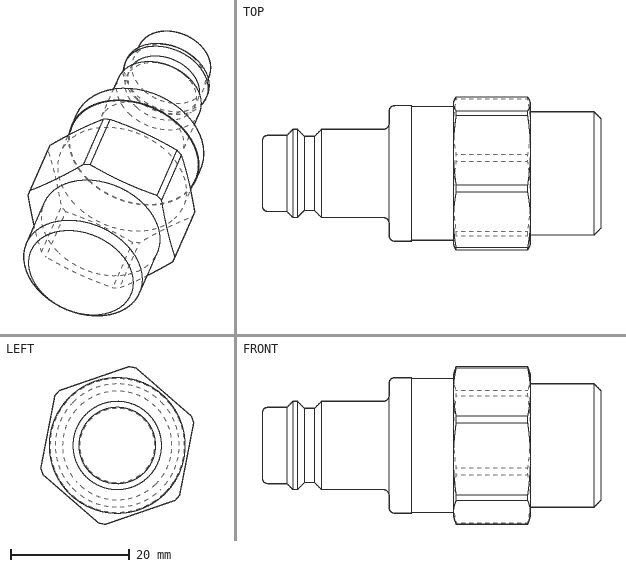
import cadquery as cq
import math


tip_diameter = 13.0
groove_diameter = 12.6
neck_diameter = 15.0
collar_diameter = 23.0
barrel_diameter = 22.75
rear_diameter = 20.95
rear_face_diameter = 18.5

ridge_start = 4.2
ridge_crest_width = 0.75
neck_start = 10.05
collar_start = 21.45
collar_end = 25.25
hex_start = 32.4
hex_end = 45.4
total_length = 57.4

edge_radius = 1.0
hex_across_flats = 24.0
hex_corner_diameter = 27.05
hex_tilt = 11.0
hex_chamfer_length = 0.45

tip_radius = tip_diameter / 2
groove_radius = groove_diameter / 2
neck_radius = neck_diameter / 2
collar_radius = collar_diameter / 2
barrel_radius = barrel_diameter / 2
rear_radius = rear_diameter / 2
rear_face_radius = rear_face_diameter / 2

ridge_crest_start = ridge_start + neck_radius - tip_radius
ridge_crest_end = ridge_crest_start + ridge_crest_width
groove_depth = neck_radius - groove_radius
groove_start = ridge_crest_end + groove_depth
groove_end = neck_start - groove_depth
rear_chamfer = rear_radius - rear_face_radius


def turned_body():
    """Revolve the half profile; X runs along the axis and Y is the radius."""
    profile = (
        cq.Workplane("XY")
        .moveTo(0, 0)
        .lineTo(0, tip_radius - edge_radius)
        .radiusArc((edge_radius, tip_radius), edge_radius)
        .lineTo(ridge_start, tip_radius)
        .lineTo(ridge_crest_start, neck_radius)
        .lineTo(ridge_crest_end, neck_radius)
        .lineTo(groove_start, groove_radius)
        .lineTo(groove_end, groove_radius)
        .lineTo(neck_start, neck_radius)
        .lineTo(collar_start - edge_radius, neck_radius)
        .radiusArc((collar_start, neck_radius + edge_radius), -edge_radius)
        .lineTo(collar_start, collar_radius - edge_radius)
        .radiusArc((collar_start + edge_radius, collar_radius), edge_radius)
        .lineTo(collar_end, collar_radius)
        .lineTo(collar_end, barrel_radius)
        .lineTo(hex_end, barrel_radius)
        .lineTo(hex_end, rear_radius)
        .lineTo(total_length - rear_chamfer, rear_radius)
        .lineTo(total_length, rear_face_radius)
        .lineTo(total_length, 0)
        .close()
    )
    return profile.revolve(360, (0, 0, 0), (1, 0, 0))


def wrench_hex():
    """Hexagon with its corners turned down and both ends bevelled."""
    flat_radius = hex_across_flats / 2
    corner_radius = hex_corner_diameter / 2
    point_diameter = hex_across_flats / math.cos(math.radians(30))
    prism = (
        cq.Workplane("YZ", origin=(hex_start, 0, 0))
        .transformed(rotate=(0, 0, hex_tilt + 30))
        .polygon(6, point_diameter)
        .extrude(hex_end - hex_start)
    )
    envelope = (
        cq.Workplane("XY")
        .moveTo(hex_start, 0)
        .lineTo(hex_start, flat_radius)
        .lineTo(hex_start + hex_chamfer_length, corner_radius)
        .lineTo(hex_end - hex_chamfer_length, corner_radius)
        .lineTo(hex_end, flat_radius)
        .lineTo(hex_end, 0)
        .close()
        .revolve(360, (0, 0, 0), (1, 0, 0))
    )
    return prism.intersect(envelope)


result = turned_body().union(wrench_hex()).translate((-total_length / 2, 0, 0))